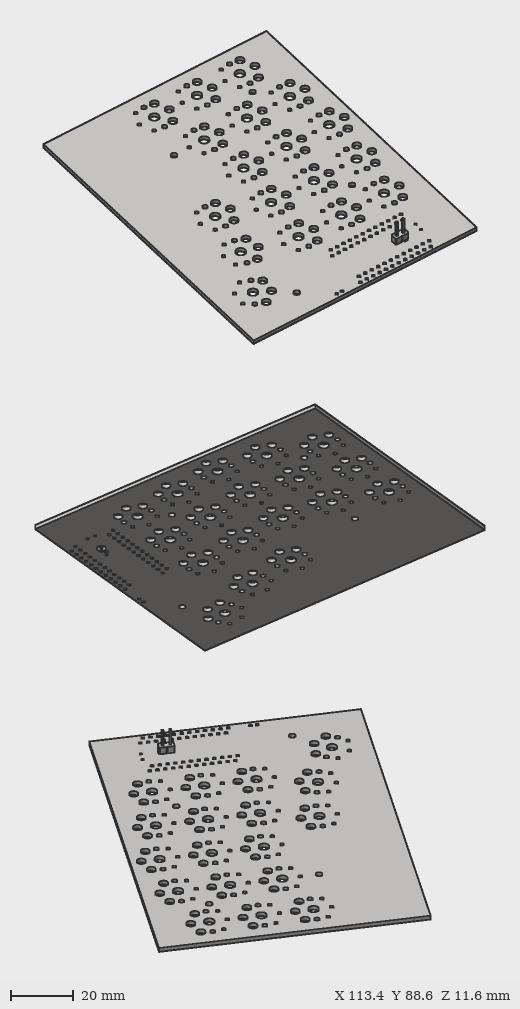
import cadquery as cq
import math

BOARD_LENGTH = 113.4
BOARD_WIDTH = 88.6
BOARD_THICKNESS = 1.6

STEM_HOLE_DIA = 3.4
PEG_HOLE_DIA = 1.7
PEG_OFFSET = 5.5
SOCKET_HOLE_DIA = 3.0
LEAD_HOLE_DIA = 1.2
SIDE_CONTACT_X = 5.0
SIDE_CONTACT_Y = 3.7
MIDDLE_SOCKET_Y = 6.0
MIDDLE_LEAD_Y = 5.9

KEY_PITCH_X = 18.0
KEY_PITCH_Y = 17.0
KEYS_PER_COLUMN = 3
FIRST_COLUMN_X = -45.8
COLUMN_TOP_Y = [25.7, 32.3, 34.7, 32.3, 29.9]

THUMB_KEYS = [
    (3.0, -20.0, 0),
    (21.0, -23.1, -15),
    (38.4, -31.2, -30),
]

MOUNT_HOLE_DIA = 2.2
MOUNT_HOLES = [(-36.5, 23.9), (17.1, 23.9), (-27.8, -13.7), (46.9, -20.0)]

CONTACT_PITCH = 2.54
CONTACT_HOLE_DIA = 1.0
CONTROLLER_ROW_COUNT = 12
CONTROLLER_ROW_SPACING = 6 * CONTACT_PITCH
CONTROLLER_ROW_STARTS = [(37.4, 28.5), (39.9, 27.2)]

BUTTON_HOLE_DIA = 0.8
BUTTON_HOLES = [(43.9, 29.5), (46.9, 29.5)]
BATTERY_HOLES = [(55.0, -7.9), (55.0, -10.1)]

REAR_PIN_HOLE_DIA = SOCKET_HOLE_DIA
REAR_PIN_HOLE = (46.8, 22.5)

HEADER_X = 46.7
HEADER_Y = 21.2
HEADER_PIN_COUNT = 2
HEADER_BLOCK_SIZE = CONTACT_PITCH
HEADER_CHAMFER = HEADER_BLOCK_SIZE / 10
PIN_WIDTH = 0.63
PIN_CHAMFER = PIN_WIDTH / 4
PIN_LENGTH = 11.6
PIN_BELOW_BOARD = 1.4


def rotated(point, angle):
    """Turn a point about the origin by an angle in degrees."""
    x, y = point
    c = math.cos(math.radians(angle))
    s = math.sin(math.radians(angle))
    return (x * c - y * s, x * s + y * c)


def finger_keys():
    """Centre and rotation of every key in the straight columns."""
    return [
        (FIRST_COLUMN_X + column * KEY_PITCH_X, top_y - row * KEY_PITCH_Y, 0)
        for column, top_y in enumerate(COLUMN_TOP_Y)
        for row in range(KEYS_PER_COLUMN)
    ]


def at_keys(offsets, keys):
    """Positions of the footprint offsets at every key."""
    points = []
    for key_x, key_y, angle in keys:
        for offset in offsets:
            dx, dy = rotated(offset, angle)
            points.append((key_x + dx, key_y + dy))
    return points


def controller_holes():
    """Both rows of both controller footprints."""
    return [
        (start_x + side * CONTROLLER_ROW_SPACING, start_y - i * CONTACT_PITCH)
        for start_x, start_y in CONTROLLER_ROW_STARTS
        for side in range(2)
        for i in range(CONTROLLER_ROW_COUNT)
    ]


def header_pin_points():
    """Centres of the header pins, in a line along Y."""
    middle = (HEADER_PIN_COUNT - 1) / 2
    return [(HEADER_X, HEADER_Y + (i - middle) * CONTACT_PITCH) for i in range(HEADER_PIN_COUNT)]


def drill(board, diameter, points):
    """Cut through holes of one diameter."""
    cutters = cq.Workplane("XY").pushPoints(points).circle(diameter / 2).extrude(BOARD_THICKNESS)
    return board.cut(cutters)


def make_board():
    keys = finger_keys() + THUMB_KEYS
    stem = [(0, 0)]
    pegs = [(-PEG_OFFSET, 0), (PEG_OFFSET, 0)]
    sockets = [
        (-SIDE_CONTACT_X, SIDE_CONTACT_Y),
        (0, MIDDLE_SOCKET_Y),
        (SIDE_CONTACT_X, SIDE_CONTACT_Y),
    ]
    leads = [
        (-SIDE_CONTACT_X, -SIDE_CONTACT_Y),
        (0, -MIDDLE_LEAD_Y),
        (SIDE_CONTACT_X, -SIDE_CONTACT_Y),
    ]

    board = cq.Workplane("XY").box(
        BOARD_LENGTH, BOARD_WIDTH, BOARD_THICKNESS, centered=(True, True, False)
    )
    board = drill(board, STEM_HOLE_DIA, at_keys(stem, keys))
    board = drill(board, PEG_HOLE_DIA, at_keys(pegs, keys))
    board = drill(board, SOCKET_HOLE_DIA, at_keys(sockets, keys))
    board = drill(board, LEAD_HOLE_DIA, at_keys(leads, keys))
    board = drill(board, MOUNT_HOLE_DIA, MOUNT_HOLES)
    board = drill(board, CONTACT_HOLE_DIA, controller_holes() + BATTERY_HOLES + header_pin_points())
    board = drill(board, BUTTON_HOLE_DIA, BUTTON_HOLES)
    board = drill(board, REAR_PIN_HOLE_DIA, [REAR_PIN_HOLE])
    return board


def make_header():
    """Chamfered plastic block per pin, resting on the board, with tapered-end square pins through it."""
    header = None
    for x, y in header_pin_points():
        block = (
            cq.Workplane("XY", origin=(x, y, BOARD_THICKNESS))
            .rect(HEADER_BLOCK_SIZE, HEADER_BLOCK_SIZE)
            .extrude(HEADER_BLOCK_SIZE)
            .edges("|Z")
            .chamfer(HEADER_CHAMFER)
        )
        pin = (
            cq.Workplane("XY", origin=(x, y, -PIN_BELOW_BOARD))
            .rect(PIN_WIDTH, PIN_WIDTH)
            .extrude(PIN_LENGTH)
            .faces("<Z or >Z")
            .chamfer(PIN_CHAMFER)
        )
        pinned_block = block.union(pin)
        header = pinned_block if header is None else header.union(pinned_block)
    return header


board = make_board()
header = make_header()

result = cq.Compound.makeCompound([board.val(), header.val()])